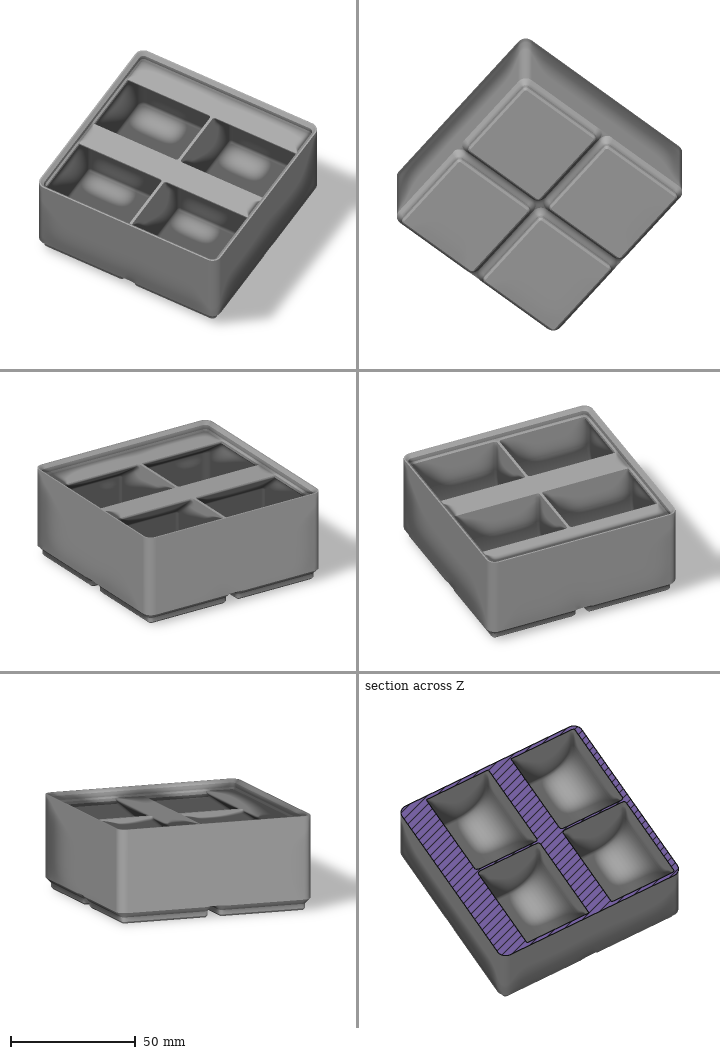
import cadquery as cq
import math

SIDE = 83.5
HEIGHT = 38.8
CELLS = 2
CORNER_RADIUS = 3.75

CELL_CLEARANCE = 0.25
PITCH = (SIDE + 2 * CELL_CLEARANCE) / CELLS
FOOT_HEIGHT = 5.0
FOOT_TOE_CHAMFER = 0.8
FOOT_BAND = 1.8
FOOT_UPPER_CHAMFER = FOOT_HEIGHT - FOOT_BAND - FOOT_TOE_CHAMFER
CELL_RADIUS = CORNER_RADIUS + CELL_CLEARANCE

WALL = 1.0
FLOOR_Z = 7.0
DIVIDER = 1.2
INNER_HALF = SIDE / 2 - WALL
INNER_RADIUS = CORNER_RADIUS - WALL
EDGE_FILLET = 1.1

LIP_HEIGHT = 3.8
LIP_OVERHANG = 1.6
LIP_RIM = 0.6
LIP_LOWER_CHAMFER = 0.7
LIP_INSET = WALL + LIP_OVERHANG
LIP_BAND_INSET = LIP_INSET - LIP_LOWER_CHAMFER
LIP_UPPER_CHAMFER = LIP_BAND_INSET - LIP_RIM
LIP_LEDGE = 1.2
THROAT_SIDE = SIDE - 2 * LIP_INSET
THROAT_RADIUS = CORNER_RADIUS - LIP_INSET
SHELF_Z = HEIGHT - LIP_HEIGHT
LIP_UNDER_TOP_Z = SHELF_Z - LIP_LEDGE
LIP_UNDER_BOTTOM_Z = LIP_UNDER_TOP_Z - LIP_OVERHANG

REAR_LABEL_DEPTH = 13.2
DIVIDER_LABEL_DEPTH = 10.85
LABEL_EDGE = 0.8
LABEL_DROP = 10.0
SCOOP_RADIUS = 14.0


def rounded_prism(side, radius, z_bottom, z_top):
    """Square prism centred on the Z axis with rounded vertical edges."""
    prism = cq.Workplane("XY").workplane(offset=z_bottom).rect(side, side).extrude(z_top - z_bottom)
    return prism.edges("|Z").fillet(radius)


def rounded_frustum(bottom_side, top_side, bottom_radius, z_bottom, z_top):
    """Square frustum with conical corners; the corner radius follows the change in side."""
    top_radius = bottom_radius + (top_side - bottom_side) / 2
    bottom = cq.Sketch().rect(bottom_side, bottom_side).vertices().fillet(bottom_radius)
    top = cq.Sketch().rect(top_side, top_side).vertices().fillet(top_radius)
    top = top.moved(cq.Location(cq.Vector(0, 0, z_top - z_bottom)))
    return cq.Workplane("XY").workplane(offset=z_bottom).placeSketch(bottom, top).loft(ruled=True)


def foot():
    """One stacking foot, centred on the Z axis."""
    band_side = PITCH - 2 * FOOT_UPPER_CHAMFER
    band_radius = CELL_RADIUS - FOOT_UPPER_CHAMFER
    toe_side = band_side - 2 * FOOT_TOE_CHAMFER
    toe_radius = band_radius - FOOT_TOE_CHAMFER
    band_bottom = FOOT_TOE_CHAMFER
    band_top = FOOT_TOE_CHAMFER + FOOT_BAND
    toe = rounded_frustum(toe_side, band_side, toe_radius, 0, band_bottom)
    band = rounded_prism(band_side, band_radius, band_bottom, band_top)
    flare = rounded_frustum(band_side, PITCH, band_radius, band_top, FOOT_HEIGHT)
    return toe.union(band).union(flare)


def outer_block():
    """Solid bin: feet trimmed to the outer wall, with a plain block above them."""
    block = rounded_prism(SIDE, CORNER_RADIUS, FOOT_HEIGHT, HEIGHT)
    trim = rounded_prism(SIDE, CORNER_RADIUS, 0, HEIGHT)
    one_foot = foot()
    for column in range(CELLS):
        for row in range(CELLS):
            x = (column - (CELLS - 1) / 2) * PITCH
            y = (row - (CELLS - 1) / 2) * PITCH
            block = block.union(one_foot.translate((x, y, 0)).intersect(trim))
    return block


def lip_opening():
    """Stepped space inside the stacking lip, from the label shelves up to the rim."""
    band_side = SIDE - 2 * LIP_BAND_INSET
    band_radius = CORNER_RADIUS - LIP_BAND_INSET
    rim_side = SIDE - 2 * LIP_RIM
    band_bottom = SHELF_Z + LIP_LOWER_CHAMFER
    band_top = HEIGHT - LIP_UPPER_CHAMFER
    seat = rounded_frustum(THROAT_SIDE, band_side, THROAT_RADIUS, SHELF_Z, band_bottom)
    band = rounded_prism(band_side, band_radius, band_bottom, band_top)
    flare = rounded_frustum(band_side, rim_side, band_radius, band_top, HEIGHT)
    return seat.union(band).union(flare)


def inner_envelope():
    """Space within the outer walls, narrowing at 45 degrees beneath the stacking lip."""
    inner_side = 2 * INNER_HALF
    lower = rounded_prism(inner_side, INNER_RADIUS, FLOOR_Z, LIP_UNDER_BOTTOM_Z)
    under = rounded_frustum(inner_side, THROAT_SIDE, INNER_RADIUS, LIP_UNDER_BOTTOM_Z, LIP_UNDER_TOP_Z)
    throat = rounded_prism(THROAT_SIDE, THROAT_RADIUS, LIP_UNDER_TOP_Z, SHELF_Z)
    return lower.union(under).union(throat)


def compartment(x_side, y_front, y_back, label_depth, back_radius):
    """Compartment on the side x_side (-1 or 1), with a front scoop and a rear label shelf."""
    x_start = DIVIDER / 2 if x_side > 0 else -INNER_HALF
    width = INNER_HALF - DIVIDER / 2
    label_front = y_back - label_depth
    scoop_mid = SCOOP_RADIUS * (1 - math.cos(math.pi / 4))
    profile = (
        cq.Workplane("YZ")
        .workplane(offset=x_start)
        .moveTo(y_front, SHELF_Z)
        .lineTo(y_front, FLOOR_Z + SCOOP_RADIUS)
        .threePointArc((y_front + scoop_mid, FLOOR_Z + scoop_mid), (y_front + SCOOP_RADIUS, FLOOR_Z))
        .lineTo(y_back, FLOOR_Z)
        .lineTo(y_back, SHELF_Z - LABEL_DROP)
        .lineTo(label_front, SHELF_Z - LABEL_EDGE)
        .lineTo(label_front, SHELF_Z)
        .close()
    )
    cavity = profile.extrude(width)
    if back_radius > EDGE_FILLET:
        corner = cq.selectors.NearestToPointSelector((x_side * INNER_HALF, y_back, SHELF_Z / 2))
        cavity = cavity.edges("|Z").edges(corner).fillet(back_radius)
    return cavity.edges("not >Z").fillet(EDGE_FILLET)


result = outer_block().cut(lip_opening())
envelope = inner_envelope()
front_y = LIP_INSET - SIDE / 2
for x_side in (-1, 1):
    front = compartment(x_side, front_y, -DIVIDER / 2, DIVIDER_LABEL_DEPTH, EDGE_FILLET)
    back = compartment(x_side, DIVIDER / 2, INNER_HALF, REAR_LABEL_DEPTH, INNER_RADIUS)
    for cavity in (front, back):
        result = result.cut(cavity.intersect(envelope))